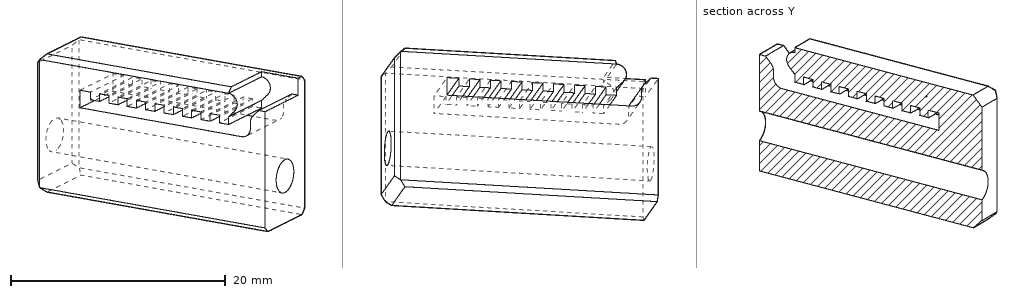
import cadquery as cq
import math

length = 25.0
width = 7.2
height = 13.5
side_chamfer = 0.5
end_chamfer = 1.0

bore_diameter = 3.2
bore_height = 4.6

pocket_depth = 6.0
pocket_start = 4.9
floor_height = 9.0
tooth_count = 8
tooth_width = 1.0
tooth_pitch = 2.0
tooth_height = 0.75
lip_x = 21.02

nose_radius = 0.95
wall_x = 23.4
wall_radius = 0.95
shelf_start = 24.3
shelf_height = 11.85


def polar(center, radius, degrees):
    """Point on a circle in the XZ plane."""
    angle = math.radians(degrees)
    return (center[0] + radius * math.cos(angle), center[1] + radius * math.sin(angle))


def make_block():
    block = cq.Workplane("XY").box(length, width, height, centered=False)
    block = block.edges("|X or (|Z and <X)").chamfer(side_chamfer)
    end_profile = (
        cq.Workplane("XZ")
        .moveTo(end_chamfer, 0)
        .lineTo(length, 0)
        .lineTo(length, height)
        .lineTo(end_chamfer, height)
        .lineTo(0, height - end_chamfer)
        .lineTo(0, end_chamfer)
        .close()
        .extrude(-width)
    )
    return block.intersect(end_profile)


def make_bore():
    return (
        cq.Workplane("YZ")
        .center(width / 2, bore_height)
        .circle(bore_diameter / 2)
        .extrude(length)
    )


def make_pocket():
    nose_center = (lip_x, height - side_chamfer - nose_radius)
    roof_height = nose_center[1] - nose_radius * math.sqrt(2)

    lower_center = (wall_x - wall_radius, floor_height + wall_radius)
    ramp_offset = wall_radius * math.sqrt(2)
    upper_center_x = wall_x + wall_radius
    upper_center_z = upper_center_x - shelf_start + shelf_height - ramp_offset
    upper_center = (upper_center_x, upper_center_z)

    outline = (
        cq.Workplane("XZ")
        .moveTo(pocket_start, floor_height)
        .lineTo(lower_center[0], floor_height)
        .threePointArc(polar(lower_center, wall_radius, -45), (wall_x, lower_center[1]))
        .lineTo(wall_x, upper_center_z)
        .threePointArc(
            polar(upper_center, wall_radius, 157.5),
            polar(upper_center, wall_radius, 135),
        )
        .lineTo(shelf_start, shelf_height)
        .lineTo(length, shelf_height)
        .lineTo(length, height)
        .lineTo(lip_x, height)
        .lineTo(lip_x, nose_center[1] + nose_radius)
        .threePointArc(
            polar(nose_center, nose_radius, 22.5),
            polar(nose_center, nose_radius, -45),
        )
        .lineTo(lip_x, roof_height)
    )
    for index in range(tooth_count):
        tooth_end = lip_x - index * tooth_pitch
        tooth_start = tooth_end - tooth_width
        outline = (
            outline
            .lineTo(tooth_end, roof_height - tooth_height)
            .lineTo(tooth_start, roof_height - tooth_height)
            .lineTo(tooth_start, roof_height)
        )
        if index < tooth_count - 1:
            outline = outline.lineTo(tooth_end - tooth_pitch, roof_height)
    return outline.lineTo(pocket_start, roof_height).close().extrude(-pocket_depth)


result = make_block().cut(make_bore()).cut(make_pocket())